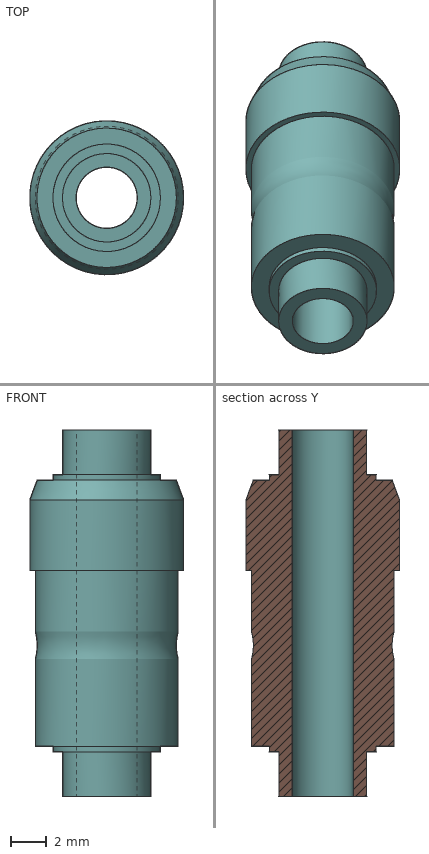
import cadquery as cq

bore_diameter = 3.4
tube_diameter = 4.95
collar_diameter = 6.0
body_diameter = 8.0
sleeve_diameter = 8.6
sleeve_top_diameter = 7.8

total_length = 20.5
tube_length = 2.5
collar_thickness = 0.3
sleeve_length = 5.06
taper_height = 1.1
groove_bottom_z = 7.69
groove_width = 1.54
groove_depth = 0.1

bottom_collar_top = tube_length + collar_thickness
top_collar_top = total_length - tube_length
sleeve_top = top_collar_top - collar_thickness
sleeve_bottom = sleeve_top - sleeve_length


def cylinder(diameter, bottom_z, top_z):
    """Solid cylinder on the Z axis between two levels."""
    return cq.Workplane("XY", origin=(0, 0, bottom_z)).circle(diameter / 2).extrude(top_z - bottom_z)


def tapered_sleeve():
    """Wide sleeve whose upper rim tapers inward."""
    sleeve_radius = sleeve_diameter / 2
    return (
        cq.Workplane("XZ")
        .moveTo(0, sleeve_bottom)
        .lineTo(sleeve_radius, sleeve_bottom)
        .lineTo(sleeve_radius, sleeve_top - taper_height)
        .lineTo(sleeve_top_diameter / 2, sleeve_top)
        .lineTo(0, sleeve_top)
        .close()
        .revolve(360, (0, 0, 0), (0, 1, 0))
    )


def groove_ring():
    """Ring with a shallow arc section, cut out of the body to form the groove."""
    body_radius = body_diameter / 2
    groove_top_z = groove_bottom_z + groove_width
    middle_z = groove_bottom_z + groove_width / 2
    return (
        cq.Workplane("XZ")
        .moveTo(body_radius, groove_bottom_z)
        .threePointArc((body_radius - groove_depth, middle_z), (body_radius, groove_top_z))
        .close()
        .revolve(360, (0, 0, 0), (0, 1, 0))
    )


tube = cylinder(tube_diameter, 0, total_length)
collars = cylinder(collar_diameter, tube_length, top_collar_top)
body = cylinder(body_diameter, bottom_collar_top, sleeve_bottom).cut(groove_ring())
bore = cylinder(bore_diameter, 0, total_length)

result = tube.union(collars).union(body).union(tapered_sleeve()).cut(bore)